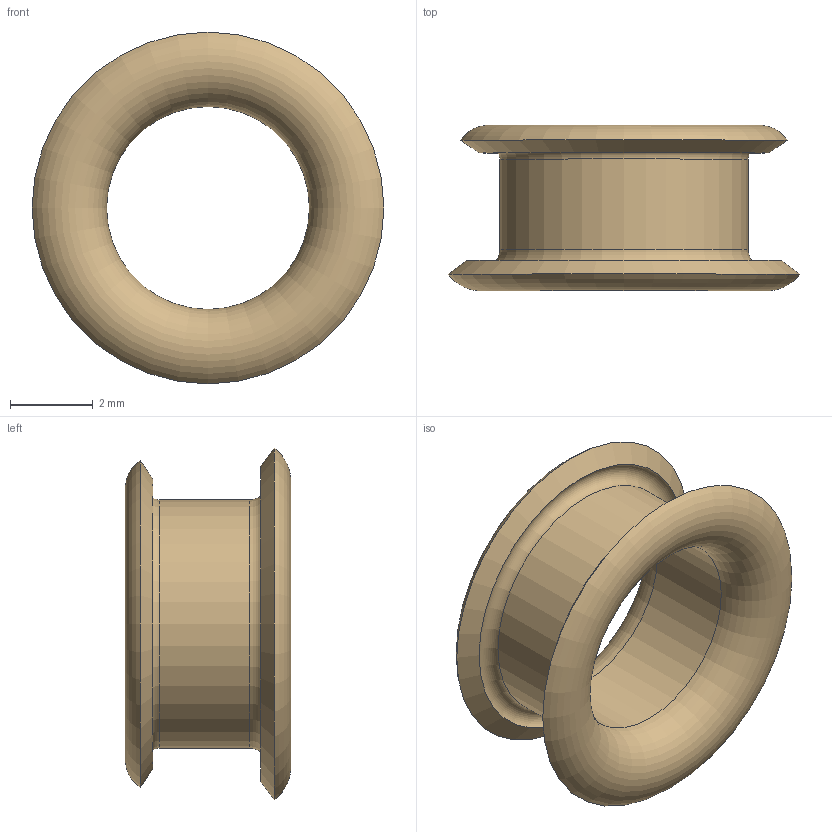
import cadquery as cq
import math

length = 4.0
bore_radius = 2.45
wall = 0.55

front_roll_radius = 1.0
front_rim_radius = 4.25

back_roll_radius = 0.82
back_rim_radius = 3.95


def roll_section(roll_radius, rim_radius, end_direction):
    """Section of one rolled end: a band of wall thickness bent around a centre.

    The section lies in the YZ plane. end_direction is -1 for the -Y end and +1 for the +Y end.
    The band is cut square at its free edge, along a line through the bend centre.
    """
    centre_y = end_direction * (length / 2 - roll_radius)
    centre_z = bore_radius + roll_radius
    inner_radius = roll_radius - wall
    free_angle = math.acos((rim_radius - centre_z) / roll_radius)

    def bend_point(radius, angle):
        """Point on the bend; the angle is measured from the outward radial direction."""
        y = centre_y + end_direction * radius * math.sin(angle)
        z = centre_z + radius * math.cos(angle)
        return (y, z)

    barrel_angle = math.pi
    middle_angle = (barrel_angle + free_angle) / 2
    return (
        cq.Workplane("YZ")
        .moveTo(*bend_point(roll_radius, barrel_angle))
        .threePointArc(bend_point(roll_radius, middle_angle), bend_point(roll_radius, free_angle))
        .lineTo(*bend_point(inner_radius, free_angle))
        .threePointArc(bend_point(inner_radius, middle_angle), bend_point(inner_radius, barrel_angle))
        .close()
    )


def barrel_section():
    """Section of the straight wall between the two rolls."""
    front_y = -length / 2 + front_roll_radius
    back_y = length / 2 - back_roll_radius
    return (
        cq.Workplane("YZ")
        .moveTo(front_y, bore_radius)
        .lineTo(back_y, bore_radius)
        .lineTo(back_y, bore_radius + wall)
        .lineTo(front_y, bore_radius + wall)
        .close()
    )


def turn(section):
    """Revolve a section all the way around the Y axis."""
    return section.revolve(360, (0, 0, 0), (1, 0, 0))


front_roll = turn(roll_section(front_roll_radius, front_rim_radius, -1))
back_roll = turn(roll_section(back_roll_radius, back_rim_radius, 1))
result = turn(barrel_section()).union(front_roll).union(back_roll)